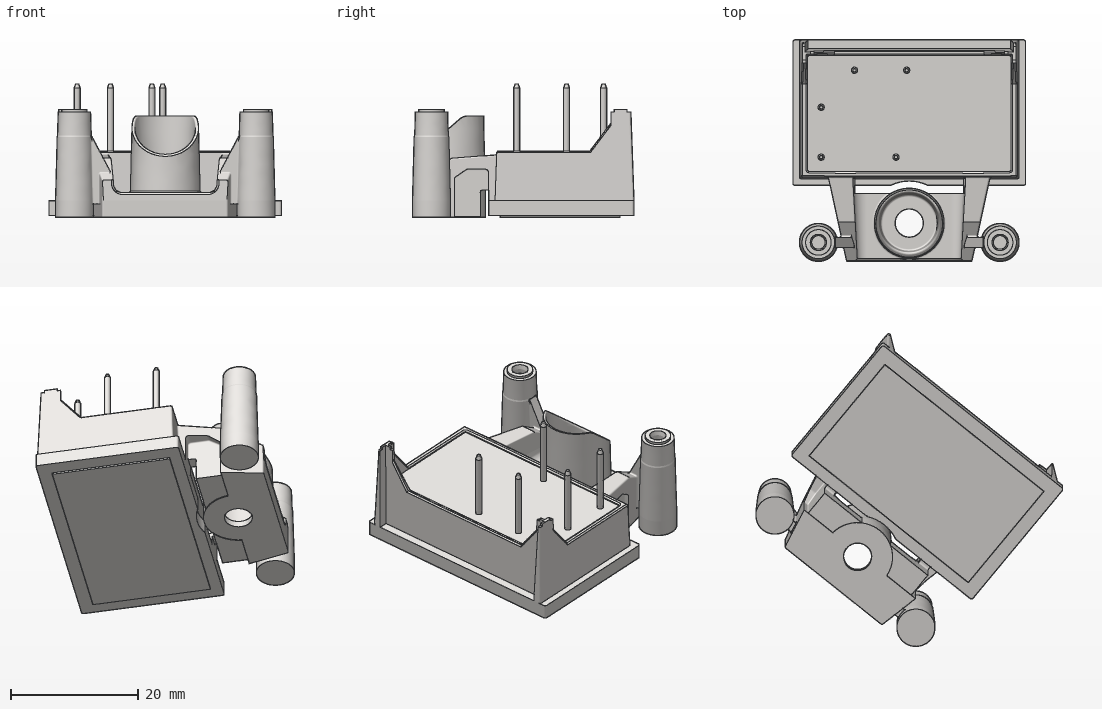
import cadquery as cq
import math


flange_width = 36.6
flange_depth = 22.88
flange_bottom = 0.3
flange_top = 2.65
flange_corner = 0.35
pad_inset = 2.2
pad_front = 1.83

draft_angle = 2.0
housing_half_width = 17.25
housing_front = 1.02
housing_root = housing_front + 0.35
rim_height = 10.4
floor_height = 10.03
cavity_half_width = 16.0
cavity_front = 2.2
cavity_back = 20.4
back_wall_outer = 21.5
back_recess_half_width = 15.9
rim_bevel = 0.22
rim_edge_min_length = 1.83
housing_corner = 0.3

post_top = 17.0
post_step = 16.58
post_shoulder = 14.8
post_cap_front = 19.73
post_cap_back = 21.78
post_front = 19.2
slope_foot_y = 15.9
post_cap_inner_x = 15.5
post_inner_x = 14.95
slope_foot_x = 11.7

pin_diameter = 1.0
pin_tip_diameter = 0.5
pin_shoulder = 20.3
pin_top = 20.97
pin_places = [(-8.6, 18.08), (-0.4, 18.08), (-13.85, 12.25), (-13.85, 4.43), (-2.1, 4.43)]

boss_x = 14.27
boss_y = -8.95
boss_radius = 3.0
boss_ring_height = 12.6
boss_ring_radius = 2.75
boss_neck_height = 12.85
boss_neck_radius = 2.67
boss_shoulder_radius = 2.55
boss_collar_radius = 2.0
boss_hole_top_radius = 1.28
boss_hole_bottom_radius = 1.05
boss_hole_taper = 0.75
boss_hole_depth = 1.45

block_front = boss_y - boss_radius
arm_back_half_width = 12.75
arm_front_half_width = 9.85
arm_root_height = 9.85
arm_knee_y = -5.75
arm_knee_height = 9.3
arm_front_height = 5.85
arm_front_setback = 0.15
arm_edge_round = 0.3
arm_inner_round = 0.2
root_round = 0.25
block_back = -1.28
trough_floor = 3.88
trough_back_half_width = 8.9
trough_front_half_width = 8.15
trough_flat_half_width = 6.65
trough_lip = 0.3
window_half_width = 8.53

pocket_half_width = 10.43
pocket_front = -5.38
pocket_top = 7.58
pocket_knee_y = -3.4
pocket_shoulder = 6.22
pocket_round = 0.55
pocket_floor_round = 0.22
window_height = 4.3
window_round = 0.35
underside_step = 0.15

gusset_width = 1.6
gusset_bottom = 2.12
gusset_top = 12.8
gusset_outer_x = 11.55
gusset_inner_x = 8.65
gusset_foot = 7.2
gusset_round = 0.22

tube_y = -5.93
tube_base_radius = 5.5
tube_top_radius = 5.2
tube_height = 15.95
tube_inner_base_radius = 4.4
tube_inner_top_radius = 4.8
tube_floor = 1.1
tube_hole_radius = 2.2
tube_fillet = 0.3
mouth_round = 0.25
cut_start_y = -3.95
cut_angle = 41.0
cut_round = 2.2
flange_notch_radius = 6.6


def box(x0, x1, y0, y1, z0, z1):
    return cq.Workplane("XY").box(x1 - x0, y1 - y0, z1 - z0, centered=False).translate((x0, y0, z0))


def side_box(side, x0, x1, y0, z0):
    """Selector for edges centred between x0 and x1 on one side, from y0 to the housing and above z0."""
    return cq.selectors.BoxSelector((side * x0, y0, z0), (side * x1, housing_front, post_top))


def across_x(points, half_width=21.95):
    """Prism along X, symmetric about X = 0, from (y, z) points."""
    return cq.Workplane("YZ").polyline(points).close().extrude(half_width, both=True)


def revolved(points, x, y):
    """Solid of revolution about a vertical axis, from (radius, z) points."""
    profile = cq.Workplane("XZ").polyline(points).close()
    return profile.revolve(360, (0, 0, 0), (0, 1, 0)).translate((x, y, 0))


def drafted_block(half_width, y0, y1, z0, z1, draft):
    """Rectangular block whose four sides lean inward by the draft angle, outward when it is negative."""
    lean = (z1 - z0) * math.tan(math.radians(draft))
    base = cq.Workplane("XY", origin=(0, (y0 + y1) / 2, z0)).rect(2 * half_width, y1 - y0)
    return base.workplane(offset=z1 - z0).rect(2 * (half_width - lean), y1 - y0 - 2 * lean).loft(ruled=True)


def make_flange():
    flange = box(-flange_width / 2, flange_width / 2, 0, flange_depth, flange_bottom, flange_top)
    flange = flange.edges("|Z").fillet(flange_corner)
    notch = cq.Workplane("XY").center(0, tube_y).circle(flange_notch_radius).extrude(flange_top)
    pad_half = flange_width / 2 - pad_inset
    pad = box(-pad_half, pad_half, pad_front, flange_depth - pad_inset, 0, flange_bottom)
    return flange.cut(notch).union(pad)


def is_rim_face(face):
    faces_up = face.normalAt().z > 0.4
    return faces_up and floor_height < face.Center().z < post_shoulder


def make_housing():
    body = drafted_block(housing_half_width, housing_front, flange_depth, flange_top, post_top, draft_angle)
    body = body.edges("not(|X or |Y)").fillet(housing_corner)
    cavity = drafted_block(cavity_half_width, cavity_front, cavity_back, floor_height, post_top, -draft_angle)
    cavity = cavity.edges("not(|X or |Y)").fillet(housing_corner)
    recess_back = 2 * flange_depth - back_wall_outer
    recess = drafted_block(
        back_recess_half_width, back_wall_outer, recess_back, flange_top, post_top, -draft_angle
    )
    side_outline = [
        (housing_front, flange_top),
        (flange_depth, flange_top),
        (flange_depth, post_step),
        (post_cap_back, post_step),
        (post_cap_back, post_top),
        (post_cap_front, post_top),
        (post_cap_front, post_step),
        (post_front, post_step),
        (post_front, post_shoulder),
        (slope_foot_y, rim_height),
        (housing_front, rim_height),
    ]
    right_half = [
        (slope_foot_x, rim_height),
        (post_inner_x, post_shoulder),
        (post_inner_x, post_step),
        (post_cap_inner_x, post_step),
        (post_cap_inner_x, post_top),
        (housing_half_width, post_top),
        (housing_half_width, flange_top),
    ]
    left_half = [(-x, z) for x, z in reversed(right_half)]
    back_outline = cq.Workplane("XZ").polyline(right_half + left_half).close().extrude(-2 * flange_depth)
    walls = body.cut(cavity).cut(recess).intersect(across_x(side_outline)).intersect(back_outline)
    tops = [f for f in walls.faces("not #Z").vals() if is_rim_face(f)]
    long_edges = [e for e in walls.newObject(tops).edges().vals() if e.Length() > rim_edge_min_length]
    return walls.newObject(long_edges).chamfer(rim_bevel)


def make_pins():
    radius = pin_diameter / 2
    outline = [
        (0, flange_top),
        (radius, flange_top),
        (radius, pin_shoulder),
        (pin_tip_diameter / 2, pin_top),
        (0, pin_top),
    ]
    pins = cq.Workplane("XY")
    for x, y in pin_places:
        pins = pins.union(revolved(outline, x, y))
    return pins


def make_boss():
    outline = [
        (0, 0),
        (boss_radius, 0),
        (boss_radius, flange_top),
        (boss_ring_radius, boss_ring_height),
        (boss_neck_radius, boss_neck_height),
        (boss_shoulder_radius, post_step),
        (boss_collar_radius, post_step),
        (boss_collar_radius, post_top),
        (boss_hole_top_radius, post_top),
        (boss_hole_bottom_radius, post_top - boss_hole_taper),
        (boss_hole_bottom_radius, post_top - boss_hole_depth),
        (0, post_top - boss_hole_depth),
    ]
    return revolved(outline, boss_x, boss_y)


def make_gusset():
    outline = [
        (boss_x, gusset_bottom),
        (arm_front_half_width, gusset_bottom),
        (gusset_inner_x, gusset_foot),
        (gusset_outer_x, gusset_top),
        (boss_x, gusset_top),
    ]
    web = cq.Workplane("XZ", origin=(0, boss_y, 0)).polyline(outline).close()
    return web.extrude(gusset_width / 2, both=True)


def trough_section(y, half_width, floor):
    top = post_top
    radius = half_width - trough_flat_half_width
    diagonal = radius * (1 - math.sqrt(0.5))
    return (
        cq.Workplane("XZ", origin=(0, y, 0))
        .moveTo(half_width, top)
        .lineTo(half_width, floor + radius)
        .threePointArc((half_width - diagonal, floor + diagonal), (half_width - radius, floor))
        .lineTo(radius - half_width, floor)
        .threePointArc((diagonal - half_width, floor + diagonal), (-half_width, floor + radius))
        .lineTo(-half_width, top)
        .close()
        .wires()
        .val()
    )


def make_trough():
    lip_back = block_front + arm_front_setback + trough_lip
    lip_half_width = trough_front_half_width + trough_lip
    lip_floor = trough_floor - trough_lip
    sections = [
        trough_section(housing_root, trough_back_half_width, trough_floor),
        trough_section(lip_back, trough_front_half_width, trough_floor),
        trough_section(lip_back - trough_lip, lip_half_width, lip_floor),
        trough_section(block_front - trough_lip, lip_half_width, lip_floor),
    ]
    trough = cq.Workplane("XY")
    for near, far in zip(sections, sections[1:]):
        trough = trough.union(cq.Workplane(cq.Solid.makeLoft([near, far], True)))
    return trough


def make_pocket():
    """Arched recess under the right-hand arm, open to the outside."""
    outline = [
        (0, -flange_top),
        (0, pocket_top),
        (pocket_knee_y, pocket_top),
        (pocket_front, pocket_shoulder),
        (pocket_front, -flange_top),
    ]
    depth = arm_back_half_width - pocket_half_width
    arch = cq.Workplane("YZ", origin=(pocket_half_width, 0, 0)).polyline(outline).close().extrude(depth)
    return arch.edges("|X and (not <Z)").fillet(pocket_round).faces("<X").edges().fillet(pocket_floor_round)


def make_block():
    side_outline = [
        (housing_root, 0),
        (housing_root, arm_root_height),
        (arm_knee_y, arm_knee_height),
        (block_front + arm_front_setback, arm_front_height),
        (block_front, flange_top),
        (block_front, 0),
    ]
    plan = [
        (arm_back_half_width, housing_root),
        (arm_front_half_width, block_front),
        (-arm_front_half_width, block_front),
        (-arm_back_half_width, housing_root),
    ]
    arm_tops = cq.selectors.BoxSelector((-0.35, arm_knee_y - 3.65, arm_front_height), (0.35, 0, arm_root_height))
    block = cq.Workplane("XY").polyline(plan).close().extrude(post_top)
    block = block.edges("|Z and <Y").fillet(arm_edge_round)
    block = block.intersect(across_x(side_outline))
    block = block.faces(arm_tops).edges("not |X").fillet(arm_edge_round).cut(make_trough())
    block = block.cut(box(-window_half_width, window_half_width, block_back, housing_root, 0, arm_front_height))
    side_window = box(-flange_width, flange_width, block_back, 0, -flange_top, window_height)
    block = block.cut(side_window.edges("|X and >Z and <Y").fillet(window_round))
    block = block.cut(box(-flange_width, flange_width, 0, flange_depth, 0, flange_top))
    for side in (False, True):
        pocket = make_pocket()
        block = block.cut(pocket.mirror("YZ") if side else pocket)
    block = block.cut(box(-arm_back_half_width, arm_back_half_width, pocket_front, 0, 0, underside_step))
    for side in (-1, 1):
        inner_top = side_box(side, trough_front_half_width, trough_back_half_width, 2 * arm_knee_y, arm_front_height)
        block = block.edges(inner_top).edges("not(|X or |Z)").fillet(arm_inner_round)
    return block


def make_tube_skirt():
    """Concave fillet where the tube stands on the trough floor."""
    skirt_radius = tube_base_radius + tube_fillet
    mid = tube_fillet * (1 - math.sqrt(0.5))
    profile = (
        cq.Workplane("XZ")
        .moveTo(tube_inner_top_radius, trough_floor)
        .lineTo(skirt_radius, trough_floor)
        .threePointArc((tube_base_radius + mid, trough_floor + mid), (tube_base_radius, trough_floor + tube_fillet))
        .lineTo(tube_inner_top_radius, trough_floor + tube_fillet)
        .close()
    )
    skirt = profile.revolve(360, (0, 0, 0), (0, 1, 0)).translate((0, tube_y, 0))
    floor_area = box(-skirt_radius, skirt_radius, block_front, block_back, trough_floor - 0.35, tube_height)
    return skirt.intersect(floor_area)


def make_tube_outer():
    outline = [
        (0, 0),
        (tube_base_radius, 0),
        (tube_base_radius, trough_floor),
        (tube_top_radius, tube_height),
        (0, tube_height),
    ]
    cut_drop = 14.65
    top_cut = [
        (0, -tube_height),
        (0, tube_height),
        (cut_start_y, tube_height),
        (cut_start_y - cut_drop, tube_height - cut_drop * math.tan(math.radians(cut_angle))),
        (cut_start_y - cut_drop, -tube_height),
    ]
    bend = cq.selectors.NearestToPointSelector((0, cut_start_y, tube_height))
    keep = across_x(top_cut).edges("|X").edges(bend).fillet(cut_round)
    return revolved(outline, 0, tube_y).intersect(keep)


def make_tube_bore():
    outline = [
        (0, tube_floor),
        (tube_inner_base_radius, tube_floor),
        (tube_inner_top_radius, tube_height),
        (0, tube_height),
    ]
    bore = revolved(outline, 0, tube_y).faces("<Z").edges().fillet(tube_fillet)
    hole = cq.Workplane("XY").center(0, tube_y).circle(tube_hole_radius).extrude(tube_height)
    return bore.union(hole)


def make_supports():
    """Block with its arms, both bosses and the gussets that join them."""
    right_side = make_boss().union(make_gusset())
    supports = make_block().union(right_side).union(right_side.mirror("YZ"))
    corners = []
    for side in (-1, 1):
        near_gusset = side_box(side, arm_front_half_width, boss_x - boss_collar_radius, 1.2 * boss_y, flange_top + 0.35)
        for edge in supports.edges(near_gusset).edges("not(|X or |Y)").vals():
            straight_upright = edge.geomType() == "LINE" and abs(edge.tangentAt(0).z) > 0.9
            along_boss = edge.geomType() == "HYPERBOLA"
            if edge.Length() > 3.65 and abs(edge.Center().y - boss_y) < gusset_width and (straight_upright or along_boss):
                corners.append(edge)
    return supports.newObject(corners).fillet(gusset_round)


def make_tube():
    """Hollow tube with the inner edge of its slanted mouth rounded."""
    tube = make_tube_outer().cut(make_tube_bore())
    mouth_height = trough_floor + trough_lip
    mouth_edges = []
    for face in tube.faces().vals():
        if face.normalAt().z < 0.3 or face.Center().z < mouth_height:
            continue
        mouth_edges += [edge for edge in face.Edges() if is_inside_mouth(edge)]
    return tube.newObject(mouth_edges).fillet(mouth_round)


def is_inside_mouth(edge):
    limit = (tube_inner_top_radius + tube_top_radius) / 2
    points = [edge.positionAt(t) for t in (0, 0.5, 1)]
    return all(math.hypot(p.x, p.y - tube_y) < limit for p in points)


def round_arm_roots(part):
    """Round the upright corners where the arms leave the housing."""
    roots = []
    for side in (-1, 1):
        x = side * arm_back_half_width
        root = cq.selectors.BoxSelector((x - 0.35, housing_front - 0.35, flange_top), (x + 0.35, housing_root, arm_root_height))
        roots += [edge for edge in part.edges(root).vals() if edge.Length() > rim_edge_min_length]
    return part.newObject(roots).fillet(root_round)


supports = make_supports().union(make_tube_skirt()).cut(make_tube_bore()).union(make_tube())
result = round_arm_roots(make_flange().union(make_housing()).union(supports)).union(make_pins())